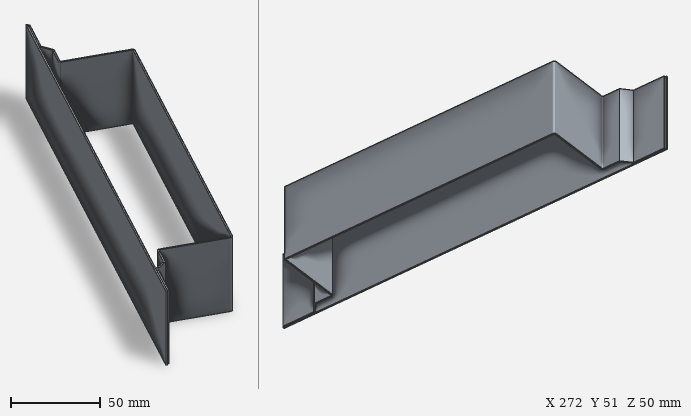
import cadquery as cq
import math

length = 272.0
depth = 51.0
height = 50.0

plate_thickness = 1.0

sheet = 1.0
bracket_length = 270.0
channel_width = 192.3
step_height = 6.0
shelf_end = 108.3
flange_start = 113.5
inner_bend_radius = 0.5
outer_bend_radius = inner_bend_radius + sheet

plate_front = -depth / 2
plate_back = plate_front + plate_thickness
back_face = depth / 2


def make_plate():
    """Flat rectangular plate closing the front of the bracket."""
    return (
        cq.Workplane("XY")
        .box(length, plate_thickness, height)
        .translate((0, (plate_front + plate_back) / 2, 0))
    )


def bracket_outline():
    """Points of the bent sheet's cross-section, mirrored about the YZ plane."""
    wall_outer = channel_width / 2
    wall_inner = wall_outer - sheet
    flange_back = plate_back + sheet
    shelf_front = plate_back + step_height
    shelf_back = shelf_front + sheet

    slope_angle = math.atan2(step_height, flange_start - shelf_end)
    corner_shift = sheet * math.tan(slope_angle / 2)

    back_side = [
        (wall_outer, back_face),
        (wall_outer, shelf_back),
        (shelf_end, shelf_back),
        (flange_start, flange_back),
        (bracket_length / 2, flange_back),
    ]
    front_side = [
        (bracket_length / 2, plate_back),
        (flange_start - corner_shift, plate_back),
        (shelf_end - corner_shift, shelf_front),
        (wall_inner, shelf_front),
        (wall_inner, back_face - sheet),
    ]
    right_half = back_side + front_side
    left_half = [(-x, y) for x, y in reversed(right_half)]
    return right_half + left_half


def round_bends(body, half_width, y, radius):
    """Round the upright edge at (+-half_width, y) on both side walls."""
    reach = sheet / 4
    for side in (-1, 1):
        near_edge = cq.selectors.BoxSelector(
            (side * half_width - reach, y - reach, -height),
            (side * half_width + reach, y + reach, height),
        )
        body = body.edges("|Z").edges(near_edge).fillet(radius)
    return body


def make_bracket():
    """Channel with stepped flanges, bent from one sheet, its flanges lying on the plate."""
    body = (
        cq.Workplane("XY")
        .workplane(offset=-height / 2)
        .polyline(bracket_outline())
        .close()
        .extrude(height)
    )
    wall_outer = channel_width / 2
    wall_inner = wall_outer - sheet
    shelf_front = plate_back + step_height

    body = round_bends(body, wall_inner, back_face - sheet, inner_bend_radius)
    body = round_bends(body, wall_outer, back_face, outer_bend_radius)
    body = round_bends(body, wall_outer, shelf_front + sheet, inner_bend_radius)
    body = round_bends(body, wall_inner, shelf_front, outer_bend_radius)
    return body


plate = make_plate()
bracket = make_bracket()

result = cq.Compound.makeCompound([plate.val(), bracket.val()])